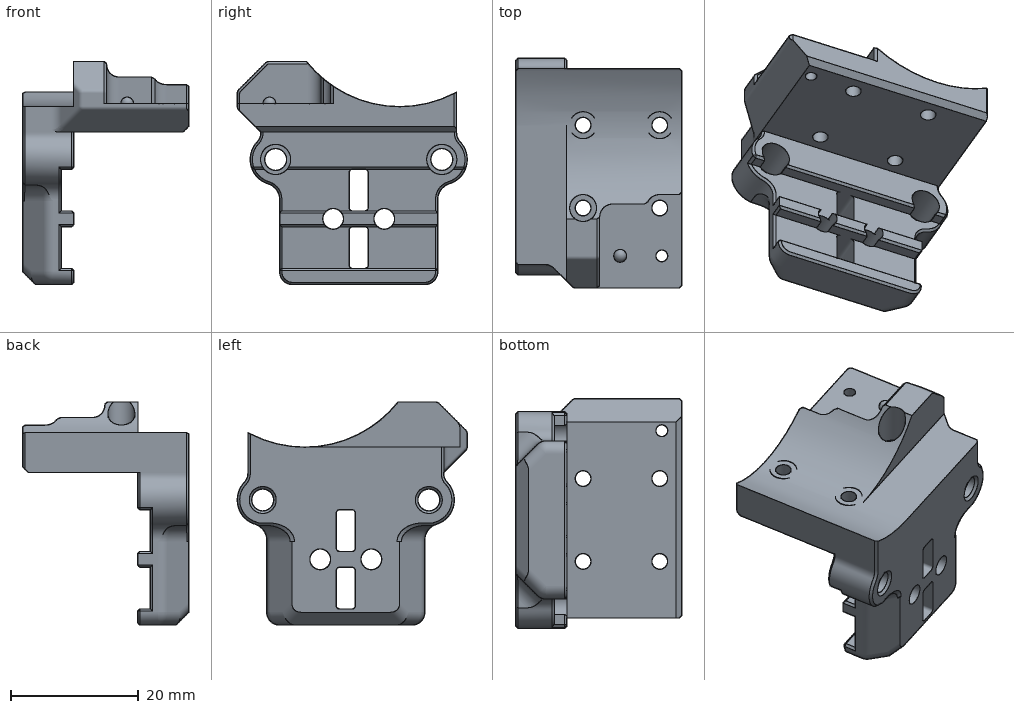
import cadquery as cq
import math

total_length = 26.0
total_height = 34.9
upright_depth = 8.03
depth_range = (0, upright_depth)
edge_chamfer = 0.4
soft_radius = 0.8
blend_radius = 2.0
through = 71.98

lug_y = 13.0
lug_z = 19.58
lug_radius = 4.0
lug_bottom = lug_z - lug_radius
lug_hole = 3.4
lug_countersink = 4.2
lug_rear_bore = 4.7
lug_ledge = 1.65
side_y = 15.33
shelf_z = 27.85

neck_y = 12.38
neck_bevel = 3.95
foot_bevel = 2.0
face_y = neck_y - neck_bevel
flare_radius = 2.52
recess_x = 6.05
rear_chamfer = 0.35
foot_height = 2.55
rib_height = 2.52
slot_height = 6.48
slot_width = 2.95
slot_corner = 0.5
screw_hole = 3.2
screw_y = 4.0
lower_slot_z = foot_height + slot_height / 2
rib_z = foot_height + slot_height + rib_height / 2
upper_slot_z = rib_z + (rib_height + slot_height) / 2
top_groove = upper_slot_z + slot_height / 2

slab_bottom = 23.85
front_y = -19.0
underside_bevel = -front_y - side_y
end_chamfer = 0.9
cradle_radius = 18.57
cradle_y = 6.4
cradle_edge_y = cradle_y - math.sqrt(cradle_radius ** 2 - (cradle_radius - total_height + shelf_z) ** 2)
diagonal_x = 9.07

block_x = 7.9
block_end_x = 13.15
block_bevel = 4.65
platform_z = 28.32
pocket_y = -5.85
hole_x = (10.55, 22.53)
hole_y = 6.48
bolt_hole = 2.4
bolt_seat = 4.2
seat_z = 27.9
small_hole = 1.8
small_hole_x = 22.85
pin_x = 16.35
pin_y = -13.95
pin_radius = 1.0


def box(x_range, y_range, z_range):
    """Box between the given limits."""
    size = [high - low for low, high in (x_range, y_range, z_range)]
    corner = (x_range[0], y_range[0], z_range[0])
    return cq.Workplane("XY").box(*size, centered=False).translate(corner)


def rod_x(diameter, y, z, x_start=-through, x_end=through):
    """Cylinder along X."""
    disc = cq.Workplane("YZ", origin=(x_start, y, z)).circle(diameter / 2)
    return disc.extrude(x_end - x_start)


def rod_z(diameter, x, y, z_start=-through, z_end=through):
    """Cylinder along Z."""
    disc = cq.Workplane("XY", origin=(x, y, z_start)).circle(diameter / 2)
    return disc.extrude(z_end - z_start)


def edges_near(body, *points):
    """Edges of a body whose centres lie at the given points."""
    targets = [cq.Vector(*point) for point in points]
    found = [
        edge for edge in body.edges().vals()
        if any((edge.Center() - target).Length < 0.18 for target in targets)
    ]
    return body.newObject(found)


def both_sides(*points):
    """The points and their mirror images across Y = 0."""
    return [(x, side * y, z) for x, y, z in points for side in (-1, 1)]


def add_lugs(body):
    for y in (-lug_y, lug_y):
        body = body.union(rod_x(2 * lug_radius, y, lug_z, 0, upright_depth))
    return body.clean()


def upper_upright():
    """Plate between slab and lugs, with the lugs blended into its sides."""
    plate = add_lugs(box(depth_range, (-side_y, side_y), (lug_z, total_height)))
    corner_z = lug_z + math.sqrt(lug_radius ** 2 - (side_y - lug_y) ** 2)
    corners = both_sides((upright_depth / 2, side_y, corner_z))
    return edges_near(plate, *corners).fillet(blend_radius)


def bevelled_neck():
    """Lower upright with bevelled and rounded front corners."""
    body = box(depth_range, (-neck_y, neck_y), (0, lug_bottom))
    body = body.faces("<X").edges("|Z").chamfer(neck_bevel)
    body = body.faces("<X").edges("<Z").chamfer(foot_bevel)
    rounded = both_sides(
        (neck_bevel, neck_y, lug_bottom / 2),
        (foot_bevel / 2, face_y + foot_bevel / 2, foot_bevel / 2),
        ((neck_bevel + foot_bevel) / 2, face_y + (neck_bevel + foot_bevel) / 2, 0),
        ((neck_bevel + upright_depth) / 2, neck_y, 0),
    )
    return edges_near(body, *rounded).fillet(blend_radius)


def flared_neck():
    """Neck flaring into a level ceiling at the underside of the lugs."""
    ceiling_y = lug_y + 2 * lug_radius
    ceiling = box(depth_range, (-ceiling_y, ceiling_y), (lug_bottom, lug_z))
    body = bevelled_neck().union(ceiling).clean()
    ceiling_joint = cq.selectors.BoxSelector(
        (0.05, -neck_y - 0.35, lug_bottom - 0.05), (upright_depth - 0.05, neck_y + 0.35, lug_bottom + 0.05)
    )
    return body.edges(ceiling_joint).fillet(flare_radius)


def lug_profile():
    """Side outline of the neck and lugs over the full depth."""
    body = add_lugs(box(depth_range, (-neck_y, neck_y), (0, lug_z)))
    corner_z = lug_z - math.sqrt(lug_radius ** 2 - (lug_y - neck_y) ** 2)
    corners = both_sides((upright_depth / 2, neck_y, corner_z))
    return edges_near(body, *corners).fillet(flare_radius)


def upright():
    """Complete upright with its chamfered outline and the two grooves across its back."""
    body = upper_upright().union(flared_neck().intersect(lug_profile())).clean()
    front_outline = cq.selectors.BoxSelector(
        (-0.05, -through, lug_bottom - flare_radius + 0.05), (0.05, through, total_height - 0.35)
    )
    body = body.edges(front_outline).chamfer(edge_chamfer)
    below_flare = box((0, through), (-through, through), (0, lug_bottom - flare_radius))
    body = body.union(bevelled_neck().intersect(below_flare)).clean()
    for z in (lower_slot_z, upper_slot_z):
        groove = box(
            (recess_x, through), (-through, through), (z - slot_height / 2, z + slot_height / 2)
        )
        body = body.cut(groove)
    rear_edges = []
    for edge in body.edges().vals():
        x, y, z = edge.Center().toTuple()
        on_rear = x > upright_depth - 0.05 and z < slab_bottom and abs(z - rib_z) > 0.05
        on_groove = x > recess_x - 0.05 and abs(y) > neck_y - 0.35 and foot_height - 0.05 < z < top_groove + 0.05
        if on_rear or (on_groove and abs(z - rib_z) > 0.05):
            rear_edges.append(edge)
    return body.newObject(rear_edges).chamfer(rear_chamfer)


def slab():
    """Horizontal slab with the clamp block, before the cradle is cut."""
    diagonal_run = -front_y - side_y
    plan = [
        (edge_chamfer, side_y),
        (total_length, side_y),
        (total_length, front_y),
        (diagonal_x, front_y),
        (diagonal_x - diagonal_run, -side_y),
        (edge_chamfer, -side_y),
    ]
    height = total_height - slab_bottom
    body = cq.Workplane("XY", origin=(0, 0, slab_bottom)).polyline(plan).close().extrude(height)
    body = body.edges("|Z").edges(cq.selectors.BoxSelector(
        (diagonal_x - diagonal_run - 0.35, -side_y - 0.35, 0), (diagonal_x - diagonal_run + 0.35, -side_y + 0.35, through)
    )).fillet(blend_radius)
    body = body.edges("|Z and >X").chamfer(edge_chamfer)
    body = body.faces("<Z").edges(">X").chamfer(end_chamfer)
    reach = 2 * underside_bevel
    under = (
        cq.Workplane("YZ")
        .polyline([(front_y, slab_bottom + underside_bevel), (-side_y, slab_bottom),
                   (front_y - reach, slab_bottom - reach)])
        .close().extrude(through)
    )
    over = (
        cq.Workplane("YZ")
        .polyline([(front_y, total_height - block_bevel), (front_y + block_bevel, total_height),
                   (front_y - reach, total_height + reach)])
        .close().extrude(through)
    )
    return body.cut(under).cut(over)


def round_front(body):
    """Round the edges around the front face and the bevels."""
    zone = cq.selectors.BoxSelector(
        (diagonal_x - 3.42, front_y - 0.35, slab_bottom + 0.18), (total_length - 0.55, -side_y + 1.25, through)
    )
    return body.edges(zone).fillet(soft_radius)


def cradle():
    """Round trough along X, open to the +Y side."""
    return rod_x(2 * cradle_radius, cradle_y, shelf_z + cradle_radius)


def shelf_clearance(x_end):
    """Space above the flat top of the upright, up to the given X."""
    return box((-through, x_end), (-through, cradle_y), (shelf_z, through))


def platform_pocket():
    """Lowered platform beside the clamp block, stepped around one bolt hole."""
    top = (platform_z, through)
    pocket = box((block_end_x, through), (-through, pocket_y), top)
    pocket = pocket.edges("|Z and <X and >Y").fillet(blend_radius)
    step = box((hole_x[1], through), (-through, bolt_seat / 2 - hole_y), top)
    return pocket.union(step).union(rod_z(bolt_seat, hole_x[1], -hole_y, *top))


def lug_bores():
    """Countersunk lug holes with a wider bore from the rear."""
    cone_depth = (lug_countersink - lug_hole) / 2
    tools = cq.Workplane("XY")
    for y in (-lug_y, lug_y):
        cone = cq.Workplane("YZ", origin=(0, y, lug_z)).circle(lug_countersink / 2).extrude(cone_depth, taper=45)
        tools = tools.union(rod_x(lug_hole, y, lug_z)).union(cone)
        tools = tools.union(rod_x(lug_rear_bore, y, lug_z, lug_ledge, upright_depth))
    return tools


def upright_openings():
    """Two slots and two screw holes through the upright."""
    tools = cq.Workplane("XY")
    for z in (lower_slot_z, upper_slot_z):
        z_range = (z - slot_height / 2, z + slot_height / 2)
        slot = box((-0.35, upright_depth + 0.35), (-slot_width / 2, slot_width / 2), z_range)
        tools = tools.union(slot.edges("|X").fillet(slot_corner))
    for y in (-screw_y, screw_y):
        tools = tools.union(rod_x(screw_hole, y, rib_z, -0.35, upright_depth + 0.35))
    return tools


def slab_holes():
    """Bolt holes with flat seats in the cradle, and the small platform hole."""
    tools = rod_z(small_hole, small_hole_x, pin_y)
    for x in hole_x:
        for y in (-hole_y, hole_y):
            tools = tools.union(rod_z(bolt_hole, x, y))
    for x, y in ((hole_x[0], -hole_y), (hole_x[0], hole_y), (hole_x[1], hole_y)):
        tools = tools.union(rod_z(bolt_seat, x, y, seat_z, through))
    return tools


def chamfer_pocket(body):
    """Chamfer the upright corners of the pocket wall and the +X rim of the clamp block."""
    step_x = hole_x[1] - math.sqrt((bolt_seat / 2) ** 2 - (hole_y + pocket_y) ** 2)
    chosen = []
    for edge in body.edges().vals():
        x, y, z = edge.Center().toTuple()
        if z < platform_z + 0.05:
            continue
        at_rim = abs(x - block_end_x) < 0.05 and y < cradle_edge_y
        at_step = abs(x - step_x) < 0.05 and abs(y - pocket_y) < 0.05
        at_end = abs(x - total_length) < 0.05 and abs(y - (bolt_seat / 2 - hole_y)) < 0.05
        if at_rim or at_step or at_end:
            chosen.append(edge)
    return body.newObject(chosen).chamfer(edge_chamfer)


body = round_front(slab()).cut(shelf_clearance(block_x))
body = body.union(upright().cut(shelf_clearance(through)))
for tool in (cradle(), platform_pocket(), lug_bores(), upright_openings(), slab_holes()):
    body = body.cut(tool)
body = chamfer_pocket(body)
pin = cq.Workplane("XY").sphere(pin_radius).translate((pin_x, pin_y, platform_z))
result = body.union(pin)